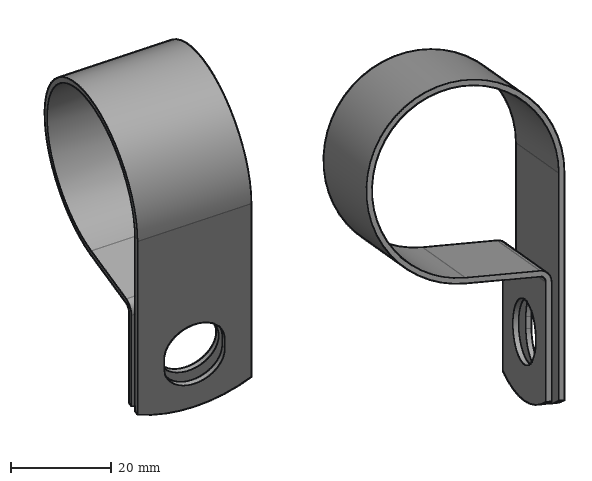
import cadquery as cq
import math

thickness = 1.22
width = 25.4
loop_outer_diameter = 42.11
total_height = 71.04

leg_gap = 1.55

end_arc_rise = 2.95
hole_diameter = 13.5
hole_above_end = 14.27
slot_length = 16.0

outer_radius = loop_outer_diameter / 2
inner_radius = outer_radius - thickness
bend_inner_radius = thickness
bend_outer_radius = bend_inner_radius + thickness
end_z = outer_radius - total_height
hole_z = end_z + hole_above_end
inner_leg_right_x = inner_radius - leg_gap
inner_leg_left_x = inner_leg_right_x - thickness
bend_center_x = inner_leg_right_x - bend_outer_radius
bend_center_z = -inner_radius - bend_outer_radius
diagonal = math.cos(math.radians(45))
lengthwise_angle = 90


def bend_midpoint(radius):
    """Middle of the quarter bend between the shelf and the inner leg."""
    offset = radius * diagonal
    return (bend_center_x + offset, bend_center_z + offset)


def make_strap():
    """P-shaped strip: outer leg, three-quarter loop, flat shelf, inner leg."""
    return (
        cq.Workplane("XZ")
        .moveTo(outer_radius, end_z)
        .lineTo(outer_radius, 0)
        .threePointArc((-outer_radius * diagonal, outer_radius * diagonal), (0, -outer_radius))
        .lineTo(bend_center_x, -outer_radius)
        .threePointArc(bend_midpoint(bend_inner_radius), (inner_leg_left_x, bend_center_z))
        .lineTo(inner_leg_left_x, end_z)
        .lineTo(inner_leg_right_x, end_z)
        .lineTo(inner_leg_right_x, bend_center_z)
        .threePointArc(bend_midpoint(bend_outer_radius), (bend_center_x, -inner_radius))
        .lineTo(0, -inner_radius)
        .threePointArc((-inner_radius * diagonal, inner_radius * diagonal), (inner_radius, 0))
        .lineTo(inner_radius, end_z)
        .close()
        .extrude(width / 2, both=True)
    )


def make_side_outline():
    """Block whose side outline has the arc-shaped lower end, spanning the whole strap."""
    half_width = width / 2
    return (
        cq.Workplane("YZ")
        .moveTo(-half_width, outer_radius)
        .lineTo(-half_width, end_z + end_arc_rise)
        .threePointArc((0, end_z), (half_width, end_z + end_arc_rise))
        .lineTo(half_width, outer_radius)
        .close()
        .extrude(outer_radius, both=True)
    )


def make_bolt_hole():
    """Round hole through the inner leg, centered on the strap width."""
    return (
        cq.Workplane("YZ", origin=(inner_leg_left_x, 0, hole_z))
        .circle(hole_diameter / 2)
        .extrude(thickness)
    )


def make_bolt_slot():
    """Slot through the outer leg, lengthened along Z around the same center as the hole."""
    return (
        cq.Workplane("YZ", origin=(inner_radius, 0, hole_z))
        .slot2D(slot_length, hole_diameter, lengthwise_angle)
        .extrude(thickness)
    )


result = (
    make_strap()
    .intersect(make_side_outline())
    .cut(make_bolt_hole())
    .cut(make_bolt_slot())
)